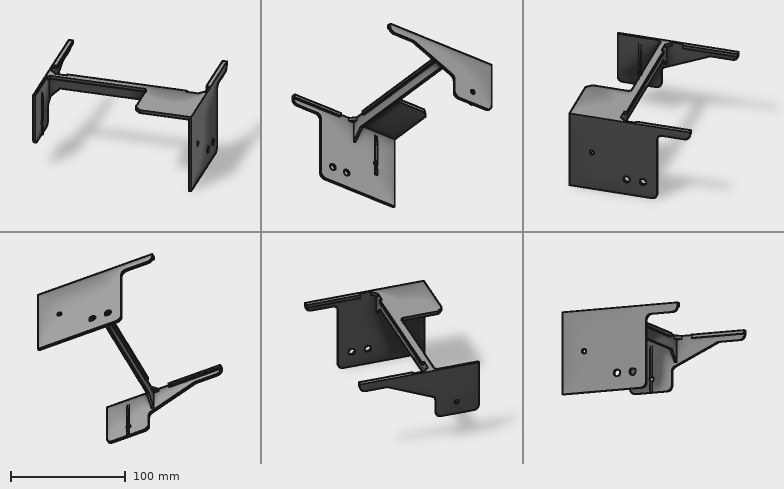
import cadquery as cq

WIDTH = 144.0
DEPTH = 110.0
HEIGHT = 73.0

WALL = 2.0
DECK = 3.0
CORNER_RADIUS = 5.0

ARM_HEIGHT = 8.0
RIGHT_WALL_DEPTH = 80.0
LEFT_WALL_DEPTH = 40.0
LEFT_WALL_HEIGHT = 48.1
ARM_SLOPE_START_Y = 84.8
ARM_SLOPE_END_Z = -28.0

LEDGE = 2.0
ARM_LEDGE_START_Y = 60.0
FLANGE_LEDGE_END_GAP = 17.3

STRIP_FRONT_Y = 40.0
PAD_WIDTH = 52.0
INNER_CHAMFER = 2.0
REAR_GUSSET = 5.0

FLANGE_BACK_Y = 45.0
FLANGE_HEIGHT = 13.0
FLANGE_GUSSET = 10.0
FLANGE_ROOT_CHAMFER = 1.0

SNAP_HOLE_DIAMETER = 4.0
SNAP_HOLE_Y = 20.6
SNAP_HOLE_Z = -36.3
SCREW_HOLE_DIAMETER = 6.0
SCREW_HOLE_Z = -58.0
SCREW_HOLE_BACK_Y = 67.2
SCREW_HOLE_PITCH = 15.0

RIB_WIDTH = 2.2
RIB_HEIGHT = 1.0
RIB_RAMP_LENGTH = 6.0
UPPER_RIB_TOP_Z = -7.2
LOWER_RIB_TOP_Z = -37.5


def prism_along_x(outline, x_start, length):
    """Extrude a closed (Y, Z) outline in +X."""
    return cq.Workplane("YZ", origin=(x_start, 0, 0)).polyline(outline).close().extrude(length)


def box(x_range, y_range, z_range):
    """Box from a pair of limits on each axis."""
    sizes = [high - low for low, high in (x_range, y_range, z_range)]
    corner = (x_range[0], y_range[0], z_range[0])
    return cq.Workplane("XY").box(*sizes, centered=False).translate(corner)


def mirrored_pair(left_body):
    """The body together with its mirror image about the middle of the width."""
    right_body = left_body.mirror("YZ", (WIDTH / 2, 0, 0))
    return left_body.union(right_body)


def round_x_edges(wall, places):
    """Fillet the X-parallel edges of a wall at the given (Y, Z) places."""
    reach = 0.1
    for y, z in places:
        low_corner = (-reach, y - reach, z - reach)
        high_corner = (WIDTH + reach, y + reach, z + reach)
        selector = cq.selectors.BoxSelector(low_corner, high_corner)
        wall = wall.edges("|X").edges(selector).fillet(CORNER_RADIUS)
    return wall


def left_wall():
    arm_end = (DEPTH, -ARM_HEIGHT)
    slope_start = (ARM_SLOPE_START_Y, -ARM_HEIGHT)
    slope_end = (LEFT_WALL_DEPTH, ARM_SLOPE_END_Z)
    back_bottom = (LEFT_WALL_DEPTH, -LEFT_WALL_HEIGHT)
    front_bottom = (0, -LEFT_WALL_HEIGHT)
    outline = [(0, 0), (DEPTH, 0), arm_end, slope_start, slope_end, back_bottom, front_bottom]
    wall = prism_along_x(outline, 0, WALL)
    return round_x_edges(wall, [arm_end, slope_end, back_bottom, front_bottom])


def right_wall():
    arm_end = (DEPTH, -ARM_HEIGHT)
    arm_root = (RIGHT_WALL_DEPTH, -ARM_HEIGHT)
    back_bottom = (RIGHT_WALL_DEPTH, -HEIGHT)
    outline = [(0, 0), (DEPTH, 0), arm_end, arm_root, back_bottom, (0, -HEIGHT)]
    wall = prism_along_x(outline, WIDTH - WALL, WALL)
    return round_x_edges(wall, [arm_end, arm_root, back_bottom])


def top_deck():
    """Strip between the walls with a wide pad at the front right corner."""
    pad_x = WIDTH - PAD_WIDTH
    outline = [
        (WALL, STRIP_FRONT_Y - INNER_CHAMFER),
        (WALL + INNER_CHAMFER, STRIP_FRONT_Y),
        (pad_x - INNER_CHAMFER, STRIP_FRONT_Y),
        (pad_x, STRIP_FRONT_Y - INNER_CHAMFER),
        (pad_x, CORNER_RADIUS),
        (pad_x + CORNER_RADIUS, 0),
        (WIDTH - WALL, 0),
        (WIDTH - WALL, FLANGE_BACK_Y + REAR_GUSSET),
        (WIDTH - WALL - REAR_GUSSET, FLANGE_BACK_Y),
        (WALL + REAR_GUSSET, FLANGE_BACK_Y),
        (WALL, FLANGE_BACK_Y + REAR_GUSSET),
    ]
    return cq.Workplane("XY").polyline(outline).close().extrude(-DECK)


def cross_flange():
    """Upright flange under the strip, deepened by a 45 degree gusset at each wall."""
    gusset_z = -FLANGE_HEIGHT - FLANGE_GUSSET
    gusset_x = WALL + FLANGE_GUSSET
    outline = [
        (WALL, 0),
        (WIDTH - WALL, 0),
        (WIDTH - WALL, gusset_z),
        (WIDTH - gusset_x, -FLANGE_HEIGHT),
        (gusset_x, -FLANGE_HEIGHT),
        (WALL, gusset_z),
    ]
    back_plane = cq.Workplane("XZ", origin=(0, FLANGE_BACK_Y, 0))
    return back_plane.polyline(outline).close().extrude(WALL)


def flange_root_chamfer():
    """45 degree fill in the corner between the deck underside and the flange front."""
    flange_front_y = FLANGE_BACK_Y - WALL
    outline = [
        (flange_front_y, -DECK),
        (flange_front_y - FLANGE_ROOT_CHAMFER, -DECK),
        (flange_front_y, -DECK - FLANGE_ROOT_CHAMFER),
    ]
    return prism_along_x(outline, WALL, WIDTH - 2 * WALL)


def rear_ledges():
    deck_levels = (-DECK, 0)
    arm_ledge = box((WALL, WALL + LEDGE), (ARM_LEDGE_START_Y, DEPTH), deck_levels)
    flange_ledge = box(
        (FLANGE_LEDGE_END_GAP, WIDTH - FLANGE_LEDGE_END_GAP),
        (FLANGE_BACK_Y, FLANGE_BACK_Y + LEDGE),
        deck_levels,
    )
    return mirrored_pair(arm_ledge).union(flange_ledge)


def ramped_rib(top_z, bottom_z):
    """Rib on the inner face of the left wall, ramping up from its top end."""
    outline = [
        (WALL, top_z),
        (WALL + RIB_HEIGHT, top_z - RIB_RAMP_LENGTH),
        (WALL + RIB_HEIGHT, bottom_z),
        (WALL, bottom_z),
    ]
    back_plane = cq.Workplane("XZ", origin=(0, SNAP_HOLE_Y + RIB_WIDTH / 2, 0))
    return back_plane.polyline(outline).close().extrude(RIB_WIDTH)


def holes_along_x(centres, diameter):
    """Cutters for round holes through the full width at the given (Y, Z) centres."""
    return cq.Workplane("YZ").pushPoints(centres).circle(diameter / 2).extrude(WIDTH)


upper_rib = ramped_rib(UPPER_RIB_TOP_Z, SNAP_HOLE_Z)
lower_rib = ramped_rib(LOWER_RIB_TOP_Z, -LEFT_WALL_HEIGHT)
snap_hole = holes_along_x([(SNAP_HOLE_Y, SNAP_HOLE_Z)], SNAP_HOLE_DIAMETER)
screw_holes = holes_along_x(
    [
        (SCREW_HOLE_BACK_Y, SCREW_HOLE_Z),
        (SCREW_HOLE_BACK_Y - SCREW_HOLE_PITCH, SCREW_HOLE_Z),
    ],
    SCREW_HOLE_DIAMETER,
)

result = (
    left_wall()
    .union(right_wall())
    .union(top_deck())
    .union(cross_flange())
    .union(flange_root_chamfer())
    .union(rear_ledges())
    .union(mirrored_pair(upper_rib.union(lower_rib)))
    .cut(snap_hole)
    .cut(screw_holes)
)